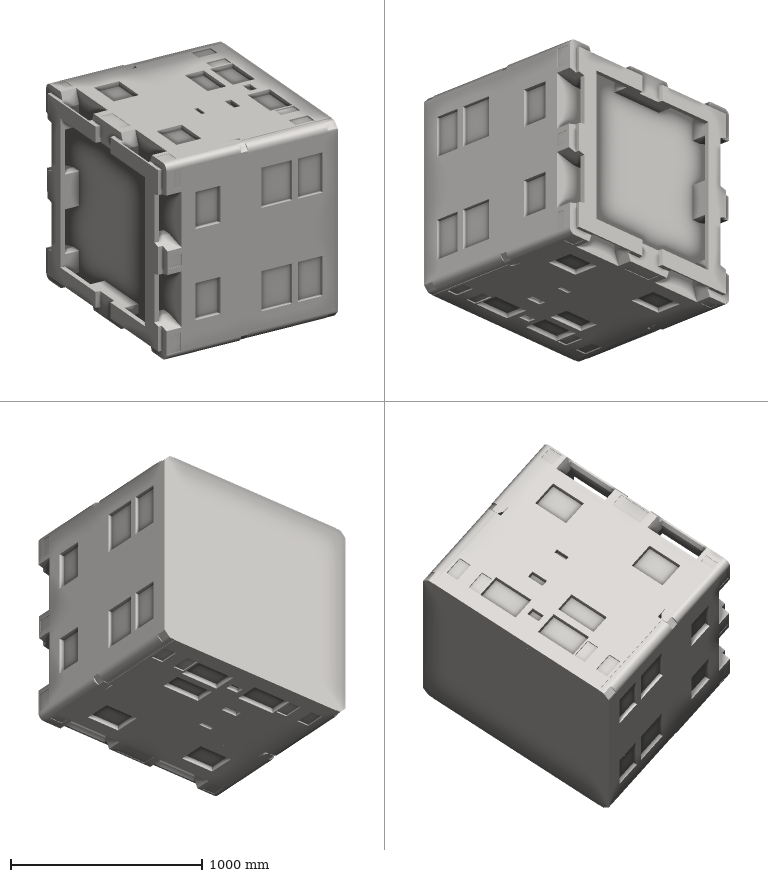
import cadquery as cq


width = 1219.0
height = 1130.0
length = 1067.0
half_width = width / 2
half_height = height / 2
lid_end = length / 2
skid_bottom = -length / 2
seam = -13.0
foot_bottom = -512.0
seat = -506.0
floor = -420.0
base_edge_radius = 38.0

lid_edge_radius = 45.0
field_rise = 2.0
field_half_width = 544.0
tongue_half_width = 516.0
tongue_tip = -101.0
tongue_radius = 16.0
slot_clearance = 4.0
ear_break_x = 18.0
ear_break_y = 28.0

flat_sum = 1138.0
lid_flat_length = 60.0
base_flat_length = 44.0

plate_half_width = 395.0
plate_near = 9.0
plate_corner_x = 75.0
plate_corner_y = 98.0
plate_thickness = 39.0

channel_x = 300.0
channel_z = 229.0
foot_ring_inside = 429.0
channel_inner = 2 * (foot_ring_inside - channel_x)
channel_mouth = 322.0
channel_straight = 483.0

skid_half_width = 561.0
skid_half_height = 522.0
skid_notch_x = 522.0
skid_gap_top = 71.0
skid_gap_bottom = 77.0
skid_chamfer = 17.0

pocket_depth = 29.0
lid_side_pocket_depth = 22.0
shallow_depth = 7.0
label_depth = 2.0
overshoot = 12.0

base_top_pocket = (317.0, -260.0, 202.0, 154.0)
base_side_pocket = (-260.0, 262.0, 154.0, 213.0)
lid_top_panel = (491.0, 383.0, 71.0, 115.0)
lid_side_pocket_far = (366.0, 297.0, 149.0, 230.0)
lid_side_pocket_near = (161.0, 297.0, 185.0, 230.0)
plate_pocket = (189.0, 372.0, 232.0, 137.0)
plate_panel = (347.0, 383.0, 66.0, 115.0)

lid_tongue_slot = (117.0, -13.0, 77.0, 22.0)
plate_lower_pocket = (-189.0, 207.0, 232.0, 115.0)
plate_middle_slot = (0.0, 363.0, 73.0, 44.0)
plate_lower_slot = (127.0, 180.0, 95.0, 39.0)
top_labels = [(-525.0, -445.0, 73.0, 44.0), (0.0, -457.0, 183.0, 77.0), (527.0, -462.0, 73.0, 77.0)]
side_labels = [(-445.0, -473.0, 44.0, 107.0), (-457.0, 0.0, 77.0, 71.0), (-462.0, 473.0, 77.0, 107.0)]


def block(x0, x1, y0, y1, z0, z1):
    """Box between the given limits."""
    return cq.Workplane("XY").box(x1 - x0, y1 - y0, z1 - z0, centered=False).translate((x0, y0, z0))


def rounded_block(y0, y1, half_z, radius):
    """Full-width block with its four long edges rounded."""
    return block(-half_width, half_width, y0, y1, -half_z, half_z).edges("|Y").fillet(radius)


def half_turn(shape):
    return shape.rotate((0, 0, 0), (0, 1, 0), 180)


def cut_both(body, cutter):
    """Cut with a cutter and with its copy turned half a turn about Y."""
    return body.cut(cutter).cut(half_turn(cutter))


def top_recess(x, y, size_x, size_y, depth):
    """Cutter for a rectangular recess centred at x, y in the +Z face."""
    return block(x - size_x / 2, x + size_x / 2, y - size_y / 2, y + size_y / 2,
                 half_height - depth, half_height + overshoot)


def side_recess(y, z, size_y, size_z, depth):
    """Cutter for a rectangular recess centred at y, z in the -X face."""
    return block(-half_width - overshoot, depth - half_width, y - size_y / 2, y + size_y / 2,
                 z - size_z / 2, z + size_z / 2)


def top_pair(recess, depth):
    """Two +Z recesses, mirrored left to right."""
    x, y, size_x, size_y = recess
    return [top_recess(side * x, y, size_x, size_y, depth) for side in (-1, 1)]


def side_pair(recess, depth):
    """Two -X recesses, mirrored top to bottom."""
    y, z, size_y, size_z = recess
    return [side_recess(y, side * z, size_y, size_z, depth) for side in (-1, 1)]


def cut_edge_flats(body, y0, y1):
    """Cut a 45 degree flat on each of the four long edges between y0 and y1."""
    inner = flat_sum - half_height
    corner = (
        cq.Workplane("XZ", origin=(0, y1, 0))
        .moveTo(inner, half_height)
        .lineTo(half_width, flat_sum - half_width)
        .lineTo(half_width, half_height)
        .close()
        .extrude(y1 - y0)
    )
    for cutter in (corner, corner.mirror("XY")):
        body = cut_both(body, cutter)
    return body


def channel_outline(centre, reach, turned):
    """Fork channel along Z (or along X when turned), straight inside and flared at both mouths."""
    inner = channel_inner / 2
    mouth = channel_mouth / 2
    right = [(inner, -channel_straight), (inner, channel_straight), (mouth, reach)]
    left = [(-mouth, reach), (-inner, channel_straight), (-inner, -channel_straight)]
    points = [(-mouth, -reach), (mouth, -reach)] + right + left
    points = [(centre + across, along) for across, along in points]
    if turned:
        points = [(along, across) for across, along in points]
    return points


def fork_channels(along_x, y0, y1):
    """The pair of fork channels along X, or along Z, between two Y levels."""
    centre = channel_z if along_x else channel_x
    reach = half_width if along_x else half_height
    channels = cq.Workplane("XZ", origin=(0, y1, 0))
    for sign in (-1, 1):
        channels = channels.polyline(channel_outline(sign * centre, reach, along_x)).close()
    return channels.extrude(y1 - y0)


def tongue_slot():
    """Slot for the tongue of the lid, right through the base along Z."""
    near_tip = tongue_tip + tongue_radius
    neck = tongue_half_width + slot_clearance
    return (
        cq.Workplane("XY", origin=(0, 0, -half_height))
        .moveTo(-neck - ear_break_x, seam)
        .lineTo(-neck, seam - ear_break_y)
        .lineTo(-tongue_half_width, near_tip)
        .radiusArc((-tongue_half_width + tongue_radius, tongue_tip), -tongue_radius)
        .lineTo(tongue_half_width - tongue_radius, tongue_tip)
        .radiusArc((tongue_half_width, near_tip), -tongue_radius)
        .lineTo(neck, seam - ear_break_y)
        .lineTo(neck + ear_break_x, seam)
        .close()
        .extrude(height)
    )


def make_base():
    base = rounded_block(foot_bottom, seam, half_height, base_edge_radius)
    base = cut_edge_flats(base, seam - base_flat_length, seam)

    ring = foot_ring_inside
    base = base.cut(block(-ring, ring, foot_bottom, floor, -ring, ring))
    base = base.cut(fork_channels(True, foot_bottom, floor))
    base = base.cut(fork_channels(False, foot_bottom, floor))
    base = base.cut(block(-channel_x, channel_x, foot_bottom, seat, -half_height, half_height))
    base = base.cut(block(-half_width, half_width, foot_bottom, seat, -channel_z, channel_z))
    base = base.cut(
        block(-skid_half_width, skid_half_width, foot_bottom, seat, -skid_half_height, skid_half_height)
    )
    base = base.cut(tongue_slot())

    cutters = top_pair(base_top_pocket, pocket_depth) + side_pair(base_side_pocket, pocket_depth)
    cutters += [top_recess(*label, label_depth) for label in top_labels]
    cutters += [side_recess(*label, label_depth) for label in side_labels]
    for cutter in cutters:
        base = cut_both(base, cutter)
    return base


def plate_blank():
    """Plate with two bevelled corners, flush with the +Z face of the lid."""
    return (
        cq.Workplane("XY", origin=(0, 0, half_height))
        .moveTo(-plate_half_width, lid_end)
        .lineTo(-plate_half_width, plate_near + plate_corner_y)
        .lineTo(-plate_half_width + plate_corner_x, plate_near)
        .lineTo(plate_half_width - plate_corner_x, plate_near)
        .lineTo(plate_half_width, plate_near + plate_corner_y)
        .lineTo(plate_half_width, lid_end)
        .close()
        .extrude(-plate_thickness)
    )


def make_plate():
    plate = plate_blank()
    cutters = top_pair(plate_pocket, pocket_depth) + top_pair(plate_panel, shallow_depth)
    for recess in (plate_lower_pocket, plate_middle_slot, plate_lower_slot):
        cutters.append(top_recess(*recess, pocket_depth))
    for cutter in cutters:
        plate = plate.cut(cutter)
    return plate


def make_lid():
    lid = rounded_block(seam, lid_end, half_height - field_rise, lid_edge_radius)
    lid = cut_edge_flats(lid, lid_end - lid_flat_length, lid_end)
    field = block(-field_half_width, field_half_width, seam, lid_end, -half_height, half_height)
    tongue = (
        block(-tongue_half_width, tongue_half_width, tongue_tip, seam, -half_height, half_height)
        .edges("|Z and <Y")
        .fillet(tongue_radius)
    )
    lid = lid.union(field).union(tongue)
    lid = cut_both(lid, plate_blank())

    cutters = top_pair(lid_top_panel, shallow_depth)
    cutters += side_pair(lid_side_pocket_far, lid_side_pocket_depth)
    cutters += side_pair(lid_side_pocket_near, lid_side_pocket_depth)
    cutters.append(top_recess(*lid_tongue_slot, pocket_depth))
    for cutter in cutters:
        lid = cut_both(lid, cutter)
    return lid


def make_skid():
    """Skid on the -X side: an upright with an arm along the top and the bottom edge."""
    skid = (
        cq.Workplane("XY", origin=(0, 0, -skid_half_height))
        .polyline([
            (-skid_half_width, skid_bottom),
            (-skid_gap_bottom, skid_bottom),
            (-skid_gap_top, seat),
            (-skid_half_width, seat),
        ])
        .close()
        .extrude(2 * skid_half_height)
    )
    ring = foot_ring_inside
    skid = skid.cut(block(-ring, 0, skid_bottom, seat, -ring, ring))

    outer_strip = block(-half_width, -skid_notch_x, skid_bottom, seat, -half_height, half_height)
    skid = skid.cut(fork_channels(True, skid_bottom, seat).intersect(outer_strip))

    chamfer = (
        cq.Workplane("YZ", origin=(-half_width, 0, 0))
        .polyline([
            (seat, skid_half_height),
            (seat - skid_chamfer, skid_half_height),
            (seat, skid_half_height - skid_chamfer),
        ])
        .close()
        .extrude(half_width)
        .intersect(fork_channels(False, skid_bottom, seat))
    )
    return skid.cut(chamfer).cut(chamfer.mirror("XY"))


base = make_base()
lid = make_lid()
plate = make_plate()
plates = [plate, half_turn(plate)]
skid = make_skid()
skids = [skid, half_turn(skid)]

result = cq.Compound.makeCompound(
    [solid for body in [base, lid] + plates + skids for solid in body.solids().vals()]
)